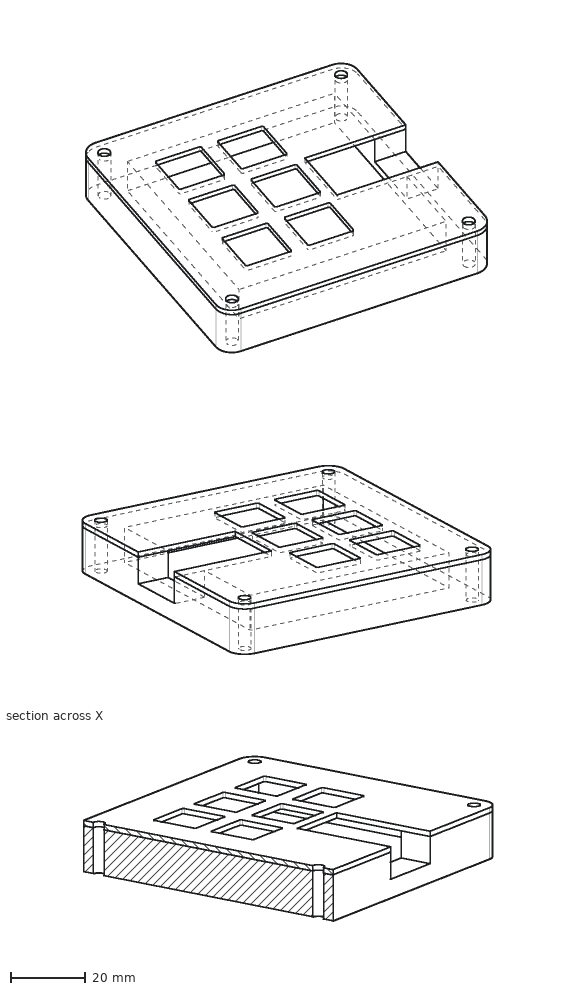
import cadquery as cq

LENGTH = 82.9
WIDTH = 82.5
HEIGHT = 14.5
CORNER_RADIUS = 5.0

PLATE_THICKNESS = 1.5
HOUSING_HEIGHT = HEIGHT - PLATE_THICKNESS
FLOOR_THICKNESS = 3.0
WALL_THICKNESS = 9.5
CAVITY_LENGTH = LENGTH - 2 * WALL_THICKNESS
CAVITY_WIDTH = WIDTH - 2 * WALL_THICKNESS

SCREW_DIAMETER = 3.4
SCREW_SPACING_X = LENGTH - 2 * CORNER_RADIUS
SCREW_SPACING_Y = WIDTH - 2 * CORNER_RADIUS

SLOT_WIDTH = 18.4
SLOT_CENTER_X = 0.4
SLOT_LENGTH = 30.9
SLOT_SILL_HEIGHT = 5.4

KEY_SIZE = 14.0
KEY_CORNER_RADIUS = 0.5
KEY_PITCH = 19.1
KEY_COLUMNS = 3
KEY_ROWS = 2
KEY_GRID_X = -0.5
KEY_GRID_Y = -KEY_PITCH / 2


def rounded_slab(bottom, height):
    """Slab with the outer outline shared by the housing and the plate."""
    return (
        cq.Workplane("XY", origin=(0, 0, bottom))
        .rect(LENGTH, WIDTH)
        .extrude(height)
        .edges("|Z")
        .fillet(CORNER_RADIUS)
    )


def screw_holes():
    """Four screw clearance cylinders running the full height."""
    return (
        cq.Workplane("XY")
        .rect(SCREW_SPACING_X, SCREW_SPACING_Y, forConstruction=True)
        .vertices()
        .circle(SCREW_DIAMETER / 2)
        .extrude(HEIGHT)
    )


def back_slot(length, bottom):
    """Block that cuts a slot inward from the +Y side, from bottom up to the top."""
    return (
        cq.Workplane("XY", origin=(SLOT_CENTER_X, WIDTH / 2 - length / 2, bottom))
        .rect(SLOT_WIDTH, length)
        .extrude(HEIGHT - bottom)
    )


def key_windows():
    """Grid of rounded square blocks that cut the key windows."""
    return (
        cq.Workplane("XY", origin=(KEY_GRID_X, KEY_GRID_Y, HOUSING_HEIGHT))
        .rarray(KEY_PITCH, KEY_PITCH, KEY_COLUMNS, KEY_ROWS)
        .rect(KEY_SIZE, KEY_SIZE)
        .extrude(PLATE_THICKNESS)
        .edges("|Z")
        .fillet(KEY_CORNER_RADIUS)
    )


def make_housing():
    """Open-topped box with thick walls and a slot through the +Y wall."""
    cavity = (
        cq.Workplane("XY", origin=(0, 0, FLOOR_THICKNESS))
        .rect(CAVITY_LENGTH, CAVITY_WIDTH)
        .extrude(HOUSING_HEIGHT - FLOOR_THICKNESS)
    )
    return (
        rounded_slab(0, HOUSING_HEIGHT)
        .cut(cavity)
        .cut(back_slot(WALL_THICKNESS, SLOT_SILL_HEIGHT))
        .cut(screw_holes())
    )


def make_plate():
    """Flat cover with key windows and a long slot open at the +Y side."""
    return (
        rounded_slab(HOUSING_HEIGHT, PLATE_THICKNESS)
        .cut(back_slot(SLOT_LENGTH, HOUSING_HEIGHT))
        .cut(key_windows())
        .cut(screw_holes())
    )


housing = make_housing()
plate = make_plate()

result = cq.Compound.makeCompound([housing.val(), plate.val()])